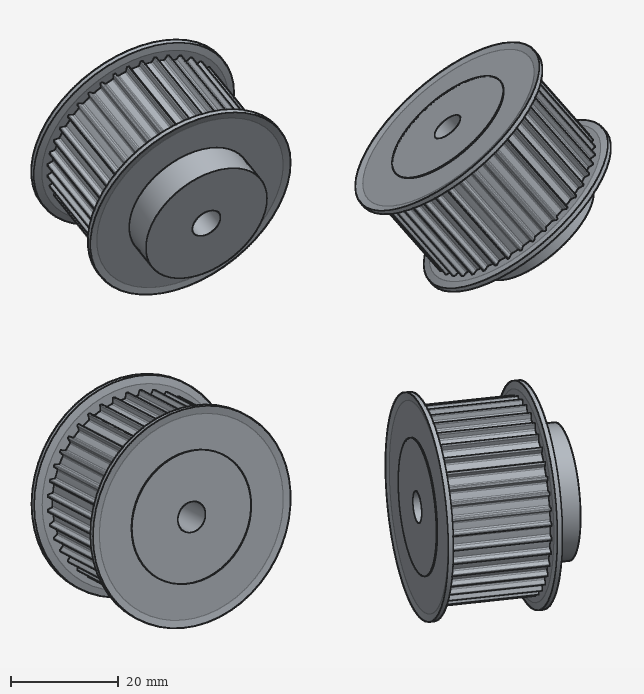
import cadquery as cq
import math

total_length = 28.0
hub_length = 5.95
hub_radius = 13.0
bore_radius = 3.0

flange_radius = 21.5
flare_start_radius = 20.0
flange_thickness = 1.0
flare_offset = 0.3

core_step = 0.2

tooth_count = 40
tip_radius = 18.8
groove_floor_radius = 17.7
tip_half_width = 0.2
root_half_width = 0.5
tip_fillet = 0.108
root_fillet = 0.3
tooth_overlap = 0.45
radius_tolerance = 0.05

flanged_length = total_length - hub_length
toothed_start = flare_offset + flange_thickness
toothed_length = flanged_length - 2 * toothed_start
core_start = flare_offset - core_step


def cylinder(start, end, radius):
    """Solid cylinder about the X axis."""
    return cq.Workplane("YZ", origin=(start, 0, 0)).circle(radius).extrude(end - start)


def flange(rim_face, inward):
    """Disc with a flared rim; rim_face is its outermost X, inward is +1 or -1 towards the belt."""
    rim_back = rim_face + inward * flange_thickness
    disc_face = rim_face + inward * flare_offset
    disc_back = disc_face + inward * flange_thickness
    profile = [
        (disc_face, 0),
        (disc_face, flare_start_radius),
        (rim_face, flange_radius),
        (rim_back, flange_radius),
        (disc_back, flare_start_radius),
        (disc_back, 0),
    ]
    return cq.Workplane("XY").polyline(profile).close().revolve(360, (0, 0, 0), (1, 0, 0))


def belt_tooth():
    """One tapered tooth pointing along +Y, with rounded tip corners."""
    foot_radius = groove_floor_radius - tooth_overlap
    flank_slope = (root_half_width - tip_half_width) / (tip_radius - groove_floor_radius)
    foot_half_width = tip_half_width + flank_slope * (tip_radius - foot_radius)
    outline = [
        (foot_radius, -foot_half_width),
        (tip_radius, -tip_half_width),
        (tip_radius, tip_half_width),
        (foot_radius, foot_half_width),
    ]
    tooth = cq.Workplane("YZ", origin=(toothed_start, 0, 0)).polyline(outline).close()
    return tooth.extrude(toothed_length).faces(">Y").edges("|X").fillet(tip_fillet)


def is_tooth_root(edge):
    """True for an edge lying on the groove floor."""
    center = edge.Center()
    return abs(math.hypot(center.y, center.z) - groove_floor_radius) < radius_tolerance


def toothed_ring():
    """Belt section with a groove centred on each of the +Y, -Y, +Z and -Z directions."""
    pitch_angle = 360 / tooth_count
    ring = cylinder(toothed_start, toothed_start + toothed_length, groove_floor_radius)
    tooth = belt_tooth()
    for index in range(tooth_count):
        angle = (index + 0.5) * pitch_angle
        ring = ring.union(tooth.rotate((0, 0, 0), (1, 0, 0), angle))
    return ring.edges("|X").filter(is_tooth_root).fillet(root_fillet)


core_and_hub = cylinder(core_start, total_length, hub_radius)
bore = cylinder(0, total_length, bore_radius)

result = (
    toothed_ring()
    .union(flange(0, 1))
    .union(flange(flanged_length, -1))
    .union(core_and_hub)
    .cut(bore)
)